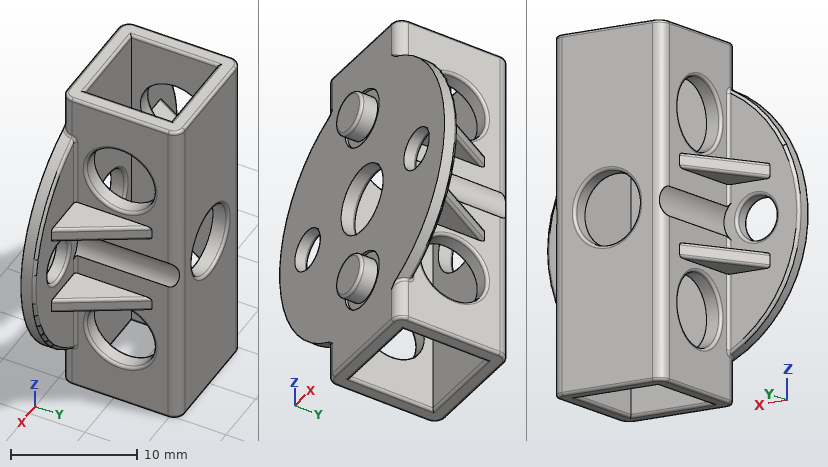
import cadquery as cq
import math

tube_length = 29.5
tube_side = 10.6
wall = 1.42
corner_radius = 0.97
edge_round = 0.25
tube_half = tube_side / 2
bore_side = tube_side - 2 * wall

disc_radius = 12.1
disc_thickness = 1.25
hole_pitch_radius = 8.0

main_hole_radius = 3.07
screw_hole_radius = 1.85
groove_radius = 2.0
groove_depth = 0.4
pin_radius = 1.9
pin_height = 1.3
pin_recess_radius = 2.5
pin_recess_depth = 0.25

rib_thickness = 1.27
rib_offset = 3.65
rib_top = 8.15
rib_angle = 60.0

both_sides = (-1, 1)


def cylinder_along_x(y, z, radius, x_start, x_end):
    """Cylinder parallel to X between two X positions."""
    start = cq.Vector(x_start, y, z)
    return cq.Workplane(cq.Solid.makeCylinder(radius, x_end - x_start, start, cq.Vector(1, 0, 0)))


def cylinder_along_y(x, z, radius, y_start, y_end):
    """Cylinder parallel to Y between two Y positions."""
    start = cq.Vector(x, y_start, z)
    return cq.Workplane(cq.Solid.makeCylinder(radius, y_end - y_start, start, cq.Vector(0, 1, 0)))


def round_rim(body, x, y, z):
    """Round the circular hole rim centred on a point."""
    reach = edge_round / 2
    rim = cq.selectors.BoxSelector((x - reach, y - reach, z - reach), (x + reach, y + reach, z + reach))
    return body.edges(rim).fillet(edge_round)


def make_tube():
    """Square tube with rounded corners; both ends are rounded outside and inside."""
    tube = cq.Workplane("XY").box(tube_side, tube_side, tube_length).edges("|Z").fillet(corner_radius)
    tube = tube.cut(cq.Workplane("XY").box(bore_side, bore_side, tube_length))
    tube = tube.faces("<Z or >Z").edges().fillet(edge_round)
    return tube.translate((0, tube_half, 0))


def add_disc(tube):
    """Join the disc to the tube, rounding its back rim and the inside corner where they meet."""
    joined = tube.union(cylinder_along_y(0, 0, disc_radius, 0, disc_thickness))
    behind_front_face = cq.selectors.BoxSelector(
        (-disc_radius, edge_round, -disc_radius),
        (disc_radius, disc_thickness + edge_round / 2, disc_radius),
    )
    return joined.edges(behind_front_face).fillet(edge_round)


def make_rib(side, z):
    """Triangular rib with rounded sloping edges; its inner parts are buried in the wall and disc."""
    slope = math.tan(math.radians(rib_angle))
    inner_x = tube_half - wall / 2
    base_y = disc_thickness / 2
    outline = [
        (inner_x, base_y),
        (tube_half + (rib_top - base_y) / slope, base_y),
        (inner_x, rib_top + (tube_half - inner_x) * slope),
    ]
    rib = cq.Workplane("XY", origin=(0, 0, z - rib_thickness / 2)).polyline(outline).close().extrude(rib_thickness)
    rib = rib.faces(">(1, 0.5, 0)").edges("not |Z").fillet(edge_round)
    return rib if side > 0 else rib.mirror("YZ")


def cut_main_hole(body):
    """Central hole along Y through both walls, rounded inside the front wall and outside the back wall."""
    body = body.cut(cylinder_along_y(0, 0, main_hole_radius, 0, tube_side))
    body = round_rim(body, 0, wall, 0)
    return round_rim(body, 0, tube_side, 0)


def cut_cross_hole(body, z):
    """Hole along X through both tube sides, rounded on the outside."""
    body = body.cut(cylinder_along_x(tube_half, z, main_hole_radius, -tube_half, tube_half))
    for side in both_sides:
        body = round_rim(body, side * tube_half, tube_half, z)
    return body


def cut_screw_hole(body, side):
    """Hole through the disc, with a shallow groove in the tube side behind it."""
    x = side * hole_pitch_radius
    body = body.cut(cylinder_along_y(x, 0, screw_hole_radius, 0, disc_thickness))
    body = round_rim(body, x, disc_thickness, 0)
    groove_x = side * (tube_half - groove_depth + groove_radius)
    return body.cut(cylinder_along_y(groove_x, 0, groove_radius, disc_thickness, tube_side))


def add_pin(body, z):
    """Locating pin with a rounded tip, rising from a shallow round recess."""
    body = body.cut(cylinder_along_y(0, z, pin_recess_radius, 0, pin_recess_depth))
    pin = cylinder_along_y(0, z, pin_radius, -pin_height, wall / 2)
    return body.union(pin.faces("<Y").edges().fillet(edge_round))


body = cut_main_hole(add_disc(make_tube()))

for side in both_sides:
    body = cut_cross_hole(body, side * hole_pitch_radius)
    body = cut_screw_hole(body, side)
    body = add_pin(body, side * hole_pitch_radius)
    for level in both_sides:
        body = body.union(make_rib(side, level * rib_offset))

result = body